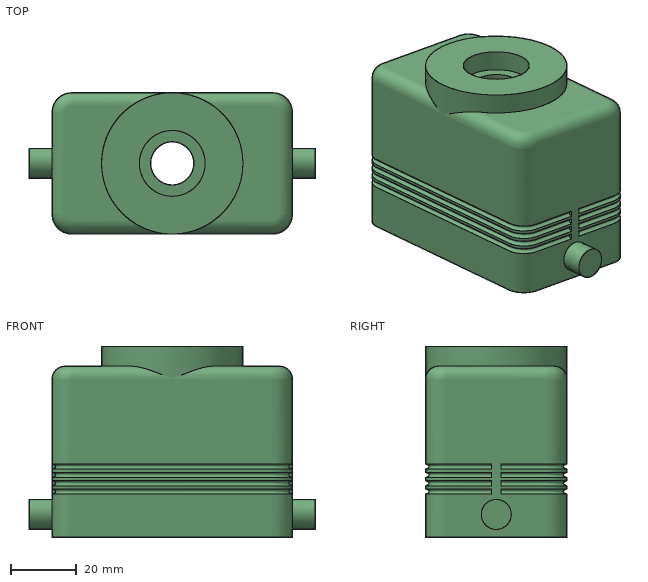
import cadquery as cq
import math

overall_length = 87.0
overall_height = 58.0

body_length = 73.1
body_width = 43.0
body_height = 52.0
corner_radius = 6.0
top_edge_radius = 3.9

wall_thickness = 3.2
cavity_height = body_height - wall_thickness

collar_diameter = body_width
entry_bore_diameter = 20.0
entry_bore_depth = overall_height - body_height
cable_hole_diameter = 13.05

groove_count = 4
groove_pitch = 2.5
groove_mouth_width = 1.6
groove_depth = 1.05
groove_floor_radius = 0.5
groove_overshoot = 0.4
lowest_groove_height = 13.9
web_width = 3.0

pin_diameter = 9.1
pin_height = 7.0
pin_length = (overall_length - body_length) / 2


def make_body():
    return (
        cq.Workplane("XY")
        .rect(body_length, body_width)
        .extrude(body_height)
        .edges("|Z")
        .fillet(corner_radius)
        .faces(">Z")
        .edges()
        .fillet(top_edge_radius)
    )


def make_collar():
    """Cylinder that runs down into the lid as far as the end of the top edge rounding."""
    base_height = body_height - top_edge_radius
    return (
        cq.Workplane("XY")
        .workplane(offset=base_height)
        .circle(collar_diameter / 2)
        .extrude(overall_height - base_height)
    )


def make_cavity():
    return (
        cq.Workplane("XY")
        .rect(body_length - 2 * wall_thickness, body_width - 2 * wall_thickness)
        .extrude(cavity_height)
        .edges("|Z")
        .fillet(corner_radius - wall_thickness)
    )


def make_entry_bore():
    """Stepped bore from the collar top down into the cavity."""
    step_height = overall_height - entry_bore_depth
    bore = (
        cq.Workplane("XY")
        .workplane(offset=step_height)
        .circle(entry_bore_diameter / 2)
        .extrude(entry_bore_depth)
    )
    cable_hole = cq.Workplane("XY").circle(cable_hole_diameter / 2).extrude(step_height)
    return bore.union(cable_hole)


def make_groove_path():
    """Half of the body outline on the -Y side, from the -X web to the +X web."""
    half_length = body_length / 2
    half_width = body_width / 2
    return (
        cq.Workplane("XY")
        .moveTo(-half_length, -web_width / 2)
        .lineTo(-half_length, corner_radius - half_width)
        .tangentArcPoint((corner_radius, -corner_radius))
        .lineTo(half_length - corner_radius, -half_width)
        .tangentArcPoint((corner_radius, corner_radius))
        .lineTo(half_length, -web_width / 2)
    )


def make_groove():
    """Cutter with sloped walls tangent to a round floor, running around both body halves."""
    half_mouth = groove_mouth_width / 2
    floor_center_depth = groove_depth - groove_floor_radius

    mouth_angle = math.atan2(half_mouth, -floor_center_depth)
    mouth_distance = math.hypot(half_mouth, floor_center_depth)
    tangent_angle = mouth_angle - math.acos(groove_floor_radius / mouth_distance)
    tangent_x = -floor_center_depth - groove_floor_radius * math.cos(tangent_angle)
    tangent_y = groove_floor_radius * math.sin(tangent_angle)

    profile_plane = cq.Plane(
        origin=(-body_length / 2, -web_width / 2, 0),
        xDir=(-1, 0, 0),
        normal=(0, -1, 0),
    )
    profile = (
        cq.Workplane(profile_plane)
        .moveTo(groove_overshoot, half_mouth)
        .lineTo(0, half_mouth)
        .lineTo(tangent_x, tangent_y)
        .threePointArc((-groove_depth, 0), (tangent_x, -tangent_y))
        .lineTo(0, -half_mouth)
        .lineTo(groove_overshoot, -half_mouth)
        .close()
    )
    half_groove = profile.sweep(make_groove_path())
    return half_groove.union(half_groove.mirror("XZ"))


def make_pin(side):
    """Locking pin on the -X (side = -1) or +X (side = 1) end face, rooted in the wall."""
    root = body_length / 2 - wall_thickness / 2
    return (
        cq.Workplane("YZ")
        .workplane(offset=side * root)
        .center(0, pin_height)
        .circle(pin_diameter / 2)
        .extrude(side * (pin_length + wall_thickness / 2))
    )


result = make_body().union(make_collar()).cut(make_cavity()).cut(make_entry_bore())

groove = make_groove()
for index in range(groove_count):
    groove_height = lowest_groove_height + index * groove_pitch
    result = result.cut(groove.translate((0, 0, groove_height)))

for side in (-1, 1):
    result = result.union(make_pin(side))